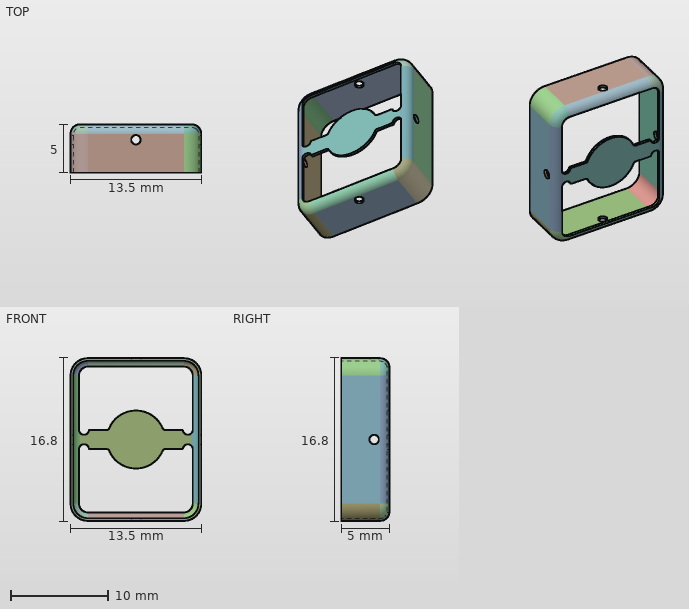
import cadquery as cq
import math

width = 13.5
depth = 5.0
height = 16.8
wall = 0.3
corner_radius = 1.8
back_radius = 1.0

lip_inset = 0.9
opening_corner_radius = corner_radius - lip_inset

disc_radius = 3.0
strap_half_height = 1.0
disc_blend_radius = 0.25
notch_radius = 0.5
notch_edge_radius = 0.15

hole_diameter = 0.95
hole_from_back = 1.6

back_y = depth / 2
front_y = -depth / 2
opening_width = width - 2 * lip_inset
opening_height = height - 2 * lip_inset

notch_x = opening_width / 2 - notch_radius


def rounded_block(size_x, size_z, corner, y_start, y_end):
    """Block along Y with its four corners rounded in the XZ plane."""
    length = y_end - y_start
    block = cq.Workplane("XY").box(size_x, length, size_z)
    return block.edges("|Y").fillet(corner).translate((0, (y_start + y_end) / 2, 0))


def make_shell():
    """Thin box, open at the front, with concentric rounds inside and outside."""
    outer = rounded_block(width, height, corner_radius, front_y, back_y)
    outer = outer.faces(">Y").edges().fillet(back_radius)
    inner = rounded_block(
        width - 2 * wall, height - 2 * wall, corner_radius - wall, front_y, back_y - wall
    )
    inner = inner.faces(">Y").edges().fillet(back_radius - wall)
    return outer.cut(inner)


def round_corner(body, x, z, radius):
    """Fillet the one edge along Y that stands nearest to the given X and Z."""
    nearest = cq.selectors.NearestToPointSelector((x, 0, z))
    return body.edges("|Y").edges(nearest).fillet(radius)


def make_bridge():
    """Strap and disc outline, as a solid running through the full depth."""
    quadrant = cq.Workplane("XY").box(width, depth, height, centered=(False, True, False))
    strap = cq.Workplane("XY").box(width, depth, 2 * strap_half_height)
    disc = cq.Workplane("XZ").circle(disc_radius).extrude(depth / 2, both=True)
    notch = (
        cq.Workplane("XZ")
        .center(notch_x, strap_half_height)
        .circle(notch_radius)
        .extrude(depth / 2, both=True)
    )
    quarter = strap.union(disc).intersect(quadrant).cut(notch)

    blend_x = math.sqrt(disc_radius**2 - strap_half_height**2)
    quarter = round_corner(quarter, blend_x, strap_half_height, disc_blend_radius)
    quarter = round_corner(quarter, notch_x - notch_radius, strap_half_height, notch_edge_radius)

    half = quarter.union(quarter.mirror("XY"))
    return half.union(half.mirror("YZ"))


def cut_opening(body):
    """Open the back everywhere except at the bridge."""
    opening = rounded_block(opening_width, opening_height, opening_corner_radius, front_y, back_y)
    return body.cut(opening.cut(make_bridge()))


def cut_wall_holes(body):
    """Drill one hole along X and one along Z, each through both opposite walls."""
    hole_y = back_y - hole_from_back
    for plane, span in (("YZ", width), ("XY", height)):
        drill = cq.Workplane(plane, origin=(0, hole_y, 0)).circle(hole_diameter / 2)
        body = body.cut(drill.extrude(span / 2, both=True))
    return body


result = cut_wall_holes(cut_opening(make_shell()))